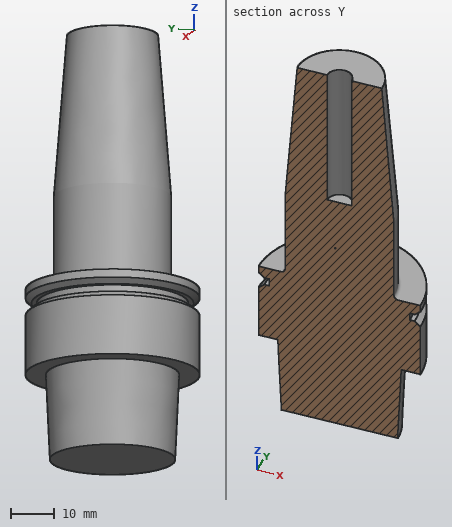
import cadquery as cq

total_height = 100.0
flange_radius = 20.0

shank_height = 20.0
shank_end_radius = 14.4
shank_top_radius = 15.3

flange_top = 40.0
lower_band_top = 33.9
groove_radius = 17.4
groove_lip_radius = 18.6
groove_bottom = 35.1
groove_top = 36.9
upper_band_bottom = 38.1

nose_radius = 13.5
root_fillet = 1.0
taper_start = 62.0
tip_radius = 10.5

bore_radius = 3.0
bore_depth = 36.0


def make_body():
    """Revolve the half outline (radius, height) around Z."""
    outline = (
        cq.Workplane("XZ")
        .moveTo(0, 0)
        .lineTo(shank_end_radius, 0)
        .lineTo(shank_top_radius, shank_height)
        .lineTo(flange_radius, shank_height)
        .lineTo(flange_radius, lower_band_top)
        .lineTo(groove_lip_radius, groove_bottom)
        .lineTo(groove_radius, groove_bottom)
        .lineTo(groove_radius, groove_top)
        .lineTo(groove_lip_radius, groove_top)
        .lineTo(flange_radius, upper_band_bottom)
        .lineTo(flange_radius, flange_top)
        .lineTo(nose_radius + root_fillet, flange_top)
        .radiusArc((nose_radius, flange_top + root_fillet), root_fillet)
        .lineTo(nose_radius, taper_start)
        .lineTo(tip_radius, total_height)
        .lineTo(0, total_height)
        .close()
    )
    return outline.revolve(360, (0, 0, 0), (0, 1, 0))


def make_bore():
    """Blind bore running down from the tip."""
    return (
        cq.Workplane("XY")
        .workplane(offset=total_height - bore_depth)
        .circle(bore_radius)
        .extrude(bore_depth)
    )


result = make_body().cut(make_bore())